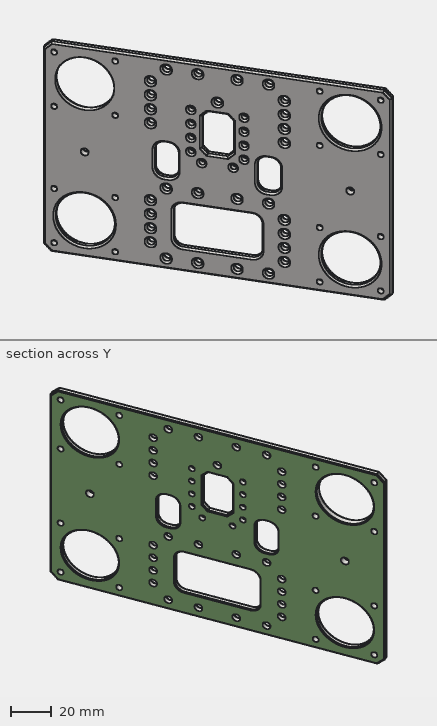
import cadquery as cq

plate_length = 176.85
plate_height = 120.0
thickness = 4.0
corner_cut = 4.0
edge_chamfer = 1.0

FRONT_FACE = "<Y"
BACK_FACE = ">Y"
BOTH_FACES = "<Y or >Y"

motor_edge_distance = 21.0
motor_x = plate_length / 2 - motor_edge_distance
motor_z = plate_height / 2 - motor_edge_distance
motor_bore_diameter = 30.0
motor_screw_pitch = 31.0
motor_screw_diameter = 3.0

side_hole_diameter = 4.0

large_hole_diameter = 4.0
small_hole_diameter = 3.0
hole_pitch = 8.0
holes_per_column = 4
group_z = 34.0
group_column_x = 34.0
group_row_offset = 20.0
group_row_x = (10.0, 26.0)
top_centre_hole_z = 39.4

window_width = 16.0
window_height = 24.0
window_corner_cut = 3.0
window_z = 21.0
window_column_x = 13.5
window_low_hole_x = 8.0
window_low_hole_z = 3.5

slot_width = 12.0
slot_height = 20.0
slot_corner_radius = 5.0
slot_x = 26.0
slot_z = 2.0
opening_width = 45.0
opening_height = 25.0
opening_corner_radius = 5.0


def column_heights(centre_z):
    """Heights of a column of evenly pitched holes about centre_z."""
    middle = (holes_per_column - 1) / 2
    return [centre_z + (i - middle) * hole_pitch for i in range(holes_per_column)]


def both_sides(x, z):
    """A point and its mirror image across the plate's vertical centre line."""
    return [(-x, z), (x, z)]


def block(width, height):
    """Rectangular block as thick as the plate, centred on the origin."""
    return cq.Workplane("XY").box(width, thickness, height)


def disc(diameter):
    """Round block as thick as the plate, centred on the origin."""
    return cq.Workplane("XZ").circle(diameter / 2).extrude(thickness / 2, both=True)


def flared(cutter, faces):
    """Flare a cutter at the selected end faces so that it chamfers the rims it leaves.

    The cutter pierces a wider tile, the rims there are chamfered, and all that
    was removed from the tile becomes the flared cutter.
    """
    size = cutter.val().BoundingBox()
    tile_growth = 4 * edge_chamfer
    tile = block(size.xlen + tile_growth, size.zlen + tile_growth)
    pierced = tile.cut(cutter)
    rims = [face.innerWires()[0] for face in pierced.faces(faces).vals()]
    rim_edges = [edge for rim in rims for edge in rim.Edges()]
    return tile.cut(pierced.newObject(rim_edges).chamfer(edge_chamfer))


def cut_at(plate, cutter, points):
    """Cut one copy of the cutter through the plate at each (x, z) point."""
    for x, z in points:
        plate = plate.cut(cutter.translate((x, 0, z)))
    return plate


def make_plate():
    """Plate blank with cut corners and chamfered edges."""
    plate = block(plate_length, plate_height).edges("|Y").chamfer(corner_cut)
    return plate.faces(BOTH_FACES).chamfer(edge_chamfer)


def cut_motor_mounts(plate):
    """Bores and screw holes; only the upper left bore has no chamfer at the front."""
    bore = disc(motor_bore_diameter)
    upper_left = (-motor_x, motor_z)
    lower_mounts = both_sides(motor_x, -motor_z)
    upper_right = (motor_x, motor_z)
    plate = cut_at(plate, flared(bore, BACK_FACE), [upper_left])
    plate = cut_at(plate, flared(bore, BOTH_FACES), [*lower_mounts, upper_right])

    screw_hole = disc(motor_screw_diameter)
    screw_offset = motor_screw_pitch / 2
    for x, z in (upper_left, upper_right, *lower_mounts):
        for screw_z in (z - screw_offset, z + screw_offset):
            screws = [(x - screw_offset, screw_z), (x + screw_offset, screw_z)]
            plate = cut_at(plate, screw_hole, screws)
    return plate


def cut_side_holes(plate):
    return cut_at(plate, disc(side_hole_diameter), both_sides(motor_x, 0))


def cut_large_holes(plate):
    """Countersunk rows and columns of both groups, and one hole on the centre line."""
    points = [(0, top_centre_hole_z)]
    for centre_z in (-group_z, group_z):
        for z in column_heights(centre_z):
            points += both_sides(group_column_x, z)
    top_row = group_z + group_row_offset
    middle_row = -group_z + group_row_offset
    bottom_row = -group_z - group_row_offset
    for z in (top_row, middle_row, bottom_row):
        for x in group_row_x:
            points += both_sides(x, z)
    return cut_at(plate, flared(disc(large_hole_diameter), FRONT_FACE), points)


def cut_small_holes(plate):
    """Countersunk columns beside the window and a pair of holes below it."""
    points = both_sides(window_low_hole_x, window_low_hole_z)
    for z in column_heights(window_z):
        points += both_sides(window_column_x, z)
    return cut_at(plate, flared(disc(small_hole_diameter), FRONT_FACE), points)


def cut_window(plate):
    window = block(window_width, window_height).edges("|Y").chamfer(window_corner_cut)
    return cut_at(plate, flared(window, BOTH_FACES), [(0, window_z)])


def cut_slots(plate):
    slot = block(slot_width, slot_height).edges("|Y").fillet(slot_corner_radius)
    return cut_at(plate, flared(slot, BOTH_FACES), both_sides(slot_x, slot_z))


def cut_lower_opening(plate):
    opening = block(opening_width, opening_height).edges("|Y").fillet(opening_corner_radius)
    return cut_at(plate, flared(opening, BOTH_FACES), [(0, -group_z)])


result = make_plate()
result = cut_window(result)
result = cut_slots(result)
result = cut_lower_opening(result)
result = cut_motor_mounts(result)
result = cut_side_holes(result)
result = cut_large_holes(result)
result = cut_small_holes(result)